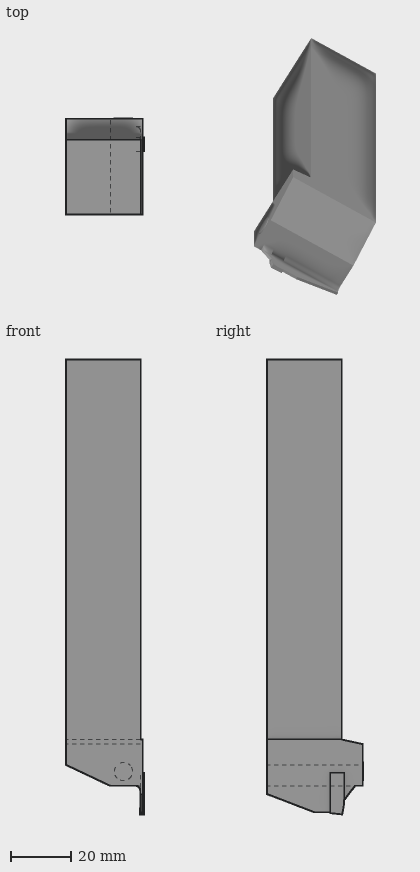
import cadquery as cq


top = 151.4
shank_width = 25.0
shank_depth = 25.0
head_depth = 32.0
head_shoulder = 23.5
head_root = 25.0
head_bottom = 9.5
bevel_top = 16.5
bevel_end = 14.7
head_right = 25.6

blade_left = 24.7
blade_bottom = 0.8
blade_front_bottom = 6.8
blade_flat_front = 15.7
blade_back = 29.4
blade_back_foot = 22.7
blade_fillet = 1.5

screw_diameter = 6.0
screw_height = 0.2
screw_x = 19.0
screw_z = 14.4

insert_front = 21.0
insert_back = 25.7
insert_top = 13.9
insert_left = blade_left
insert_right = 26.0
insert_heel = 0.5
rake_top = 3.3
tip_y = 25.1
flare_width = 0.08
flare_height = 2.5
flare_back = tip_y + (insert_back - tip_y) * flare_height / rake_top
flare_front = 23.3
flare_heel = insert_heel * (tip_y - flare_front) / (tip_y - insert_front)


def side_plate(points, left, right):
    """Plate with a YZ outline, reaching from left to right along X."""
    return cq.Workplane("YZ", origin=(left, 0, 0)).polyline(points).close().extrude(right - left)


def tetrahedron(a, b, c, d):
    """Solid with four corner points."""
    faces = [
        cq.Face.makeFromWires(cq.Wire.makePolygon([cq.Vector(*p) for p in corners], close=True))
        for corners in [(a, b, c), (a, b, d), (b, c, d), (a, c, d)]
    ]
    return cq.Solid.makeSolid(cq.Shell.makeShell(faces))


def make_insert():
    outline = [
        (insert_front, insert_top),
        (insert_back, insert_top),
        (insert_back, rake_top),
        (tip_y, 0),
        (insert_front, insert_heel),
    ]
    plate = side_plate(outline, insert_left, insert_right)
    flare = tetrahedron(
        (insert_left, flare_back, flare_height),
        (insert_left, flare_front, flare_heel),
        (insert_left, tip_y, 0),
        (insert_left - flare_width, tip_y, 0),
    )
    return plate.union(cq.Workplane(flare))


def make_holder():
    front = (
        cq.Workplane("XZ")
        .moveTo(0, top)
        .lineTo(shank_width, top)
        .lineTo(shank_width, head_root)
        .lineTo(head_right, head_root)
        .lineTo(head_right, blade_bottom)
        .lineTo(blade_left, blade_bottom)
        .lineTo(blade_left, head_bottom - blade_fillet)
        .radiusArc((blade_left - blade_fillet, head_bottom), -blade_fillet)
        .lineTo(bevel_end, head_bottom)
        .lineTo(0, bevel_top)
        .close()
        .extrude(-head_depth)
    )
    side = side_plate(
        [
            (0, top),
            (shank_depth, top),
            (shank_depth, head_root),
            (head_depth, head_shoulder),
            (head_depth, head_bottom),
            (blade_back, head_bottom),
            (blade_back_foot, blade_bottom),
            (blade_flat_front, blade_bottom),
            (0, blade_front_bottom),
        ],
        0,
        insert_right,
    )
    screw = (
        cq.Workplane("XZ", origin=(screw_x, head_depth, screw_z))
        .circle(screw_diameter / 2)
        .extrude(-screw_height)
    )
    relief = cq.Workplane("XY").box(
        blade_fillet + insert_right - blade_left,
        insert_back - insert_front,
        head_bottom,
        centered=False,
    ).translate((blade_left - blade_fillet, insert_front, 0))
    return front.intersect(side).union(screw).cut(relief).cut(make_insert())


holder = make_holder()
insert = make_insert()

result = cq.Compound.makeCompound([holder.val(), insert.val()])